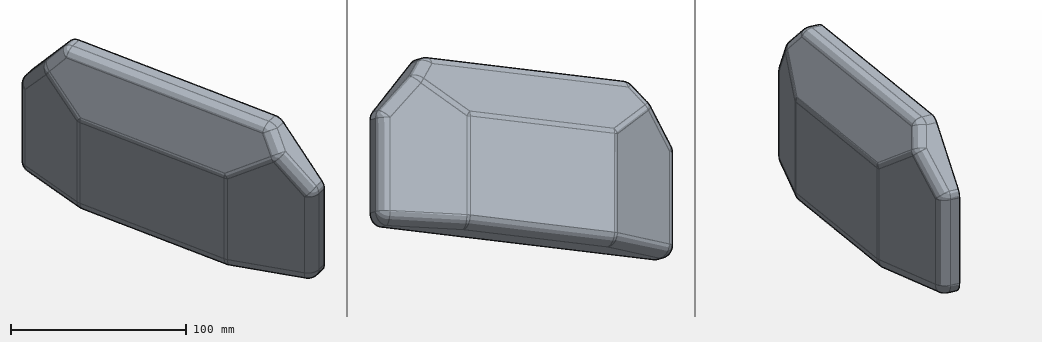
import cadquery as cq

width = 200.0
depth = 26.5
height = 100.0
half_width = width / 2

corner_inset = 30.0
corner_drop = 35.8

panel_width = width / 2
panel_height = 66.5
rim_depth = 11.5

edge_radius = 7.5


def make_outline_block():
    """Plate with both top corners cut off, extruded from the back face to the front."""
    return (
        cq.Workplane("XZ")
        .moveTo(-half_width, 0)
        .lineTo(half_width, 0)
        .lineTo(half_width, height - corner_drop)
        .lineTo(half_width - corner_inset, height)
        .lineTo(corner_inset - half_width, height)
        .lineTo(-half_width, height - corner_drop)
        .close()
        .extrude(depth)
    )


def make_plan_section():
    """Plan section with both sides sloping back from the panel, swept through the height."""
    return (
        cq.Workplane("XY")
        .moveTo(-half_width, 0)
        .lineTo(half_width, 0)
        .lineTo(half_width, -rim_depth)
        .lineTo(panel_width / 2, -depth)
        .lineTo(-panel_width / 2, -depth)
        .lineTo(-half_width, -rim_depth)
        .close()
        .extrude(height)
    )


def make_end_section():
    """End section with the top sloping back from the panel, swept across the width."""
    return (
        cq.Workplane("YZ")
        .moveTo(0, 0)
        .lineTo(0, height)
        .lineTo(-rim_depth, height)
        .lineTo(-depth, panel_height)
        .lineTo(-depth, 0)
        .close()
        .extrude(half_width, both=True)
    )


faceted_body = make_outline_block().intersect(make_plan_section()).intersect(make_end_section())

result = faceted_body.edges("not(>Y)").fillet(edge_radius)